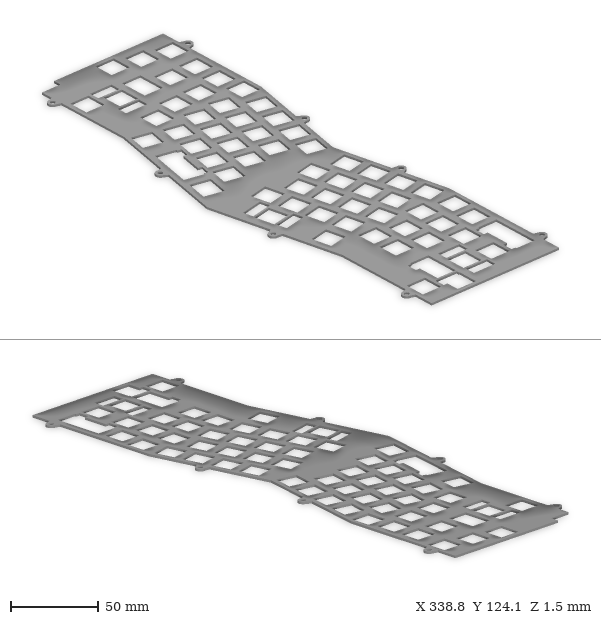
import cadquery as cq
import math


plate_length = 338.8
plate_thickness = 1.5
slope = 12.0
plate_left = -plate_length / 2
plate_right = plate_length / 2
plate_top = 55.5
plate_bottom = -42.5
top_bend_left = -85.7
top_bend_right = 75.5
bottom_bend_left = -94.2
bottom_bend_right = 93.0
notch_width = 5.5
notch_height = 14.2

tab_diameter = 6.5
tab_hole_diameter = 3.2
tab_reach = 3.0
tab_base_width = 8.5
tab_root = 1.0
tab_x_left = -151.5
tab_x_right = 151.5
top_tab_x_left = -42.0
top_tab_x_right = 40.0
bottom_tab_x_left = -47.8
bottom_tab_x_right = 47.5

five_rows = 95.2
pitch = five_rows / 5
hole_gap = 5.0
switch_hole = pitch - hole_gap
top_row_lift = 2.0
second_row_lift = 1.0
row_count = 5
top_row_y = 44.0
row_y = [top_row_y - row * pitch for row in range(row_count)]

stabilizer_spacing = 23.7
stabilizer_width = 7.0
stabilizer_height = 16.3
stabilizer_shift = 1.7
wire_opening_length = 33.0

left_field = (-70.0, 42.0)
right_field = (69.8, 44.0)
left_row_offsets = [0, -0.5, -0.25, 0.25]
right_row_offsets = [0, -0.5, -0.25, -0.75]
keys_per_row = 4
thumb_row_drop = 4 * pitch
outer_thumb_lag = 1.5
outer_thumb_drop = thumb_row_drop + outer_thumb_lag


def box(length, height, x, y, angle=0.0):
    """Prism through the plate, centred on (x, y) and turned about z."""
    prism = cq.Workplane("XY").rect(length, height).extrude(plate_thickness)
    return prism.rotate((0, 0, 0), (0, 0, 1), angle).translate((x, y, 0))


def field_point(origin, angle, along, across):
    """Plate position of a point given along and across the rows of a turned field."""
    turn = math.radians(angle)
    x = origin[0] + along * math.cos(turn) - across * math.sin(turn)
    y = origin[1] + along * math.sin(turn) + across * math.cos(turn)
    return x, y


def switch(x, y, angle=0.0):
    return [box(switch_hole, switch_hole, x, y, angle)]


def stabilizer_slots(x, y, wire_side, angle=0.0):
    """Pair of slots beside a switch, shifted up (wire_side 1) or down (wire_side -1)."""
    slots = []
    for side in (-1, 1):
        along = side * stabilizer_spacing / 2
        centre = field_point((x, y), angle, along, wire_side * stabilizer_shift)
        slots.append(box(stabilizer_width, stabilizer_height, *centre, angle))
    return slots


def stabilized_switch(x, y, wire_side, angle=0.0):
    return switch(x, y, angle) + stabilizer_slots(x, y, wire_side, angle)


def wide_opening(x, y, wire_side, angle=0.0):
    """Opening in which switch and stabilizer slots are merged."""
    opening = [box(wire_opening_length, switch_hole, x, y, angle)]
    return opening + stabilizer_slots(x, y, wire_side, angle)


def top_edge_y(x):
    """Height of the sloping top edge, which falls from both bends to the middle."""
    distance = min(x - top_bend_left, top_bend_right - x)
    return plate_top - distance * math.tan(math.radians(slope))


def bottom_edge_y(x):
    """Height of the sloping bottom edge, which falls from both bends to the middle."""
    distance = min(x - bottom_bend_left, bottom_bend_right - x)
    return plate_bottom - distance * math.tan(math.radians(slope))


def plate_outline():
    top_middle = (top_bend_left + top_bend_right) / 2
    bottom_middle = (bottom_bend_left + bottom_bend_right) / 2
    notch_x = plate_left + notch_width
    notch_y = plate_bottom + notch_height
    points = [
        (plate_left, plate_top),
        (top_bend_left, plate_top),
        (top_middle, top_edge_y(top_middle)),
        (top_bend_right, plate_top),
        (plate_right, plate_top),
        (plate_right, plate_bottom),
        (bottom_bend_right, plate_bottom),
        (bottom_middle, bottom_edge_y(bottom_middle)),
        (bottom_bend_left, plate_bottom),
        (notch_x, plate_bottom),
        (notch_x, notch_y),
        (plate_left, notch_y),
    ]
    return cq.Workplane("XY").polyline(points).close().extrude(plate_thickness)


def screw_tab(x, y, angle):
    """Tab standing on the edge point (x, y); at angle 0 it points to +Y."""
    radius = tab_diameter / 2
    neck = [
        (-tab_base_width / 2, -tab_root),
        (-tab_base_width / 2, 0),
        (-radius, tab_reach),
        (radius, tab_reach),
        (tab_base_width / 2, 0),
        (tab_base_width / 2, -tab_root),
    ]
    tab = cq.Workplane("XY").polyline(neck).close().extrude(plate_thickness)
    head = cq.Workplane("XY").center(0, tab_reach).circle(radius).extrude(plate_thickness)
    hole_radius = tab_hole_diameter / 2
    hole = cq.Workplane("XY").center(0, tab_reach).circle(hole_radius).extrude(plate_thickness)
    tab = tab.union(head).cut(hole)
    return tab.rotate((0, 0, 0), (0, 0, 1), angle).translate((x, y, 0))


def screw_tabs():
    tabs = []
    for x in (tab_x_left, tab_x_right):
        tabs.append(screw_tab(x, plate_top, 0))
        tabs.append(screw_tab(x, plate_bottom, 180))
    tabs.append(screw_tab(top_tab_x_left, top_edge_y(top_tab_x_left), -slope))
    tabs.append(screw_tab(top_tab_x_right, top_edge_y(top_tab_x_right), slope))
    tabs.append(screw_tab(bottom_tab_x_left, bottom_edge_y(bottom_tab_x_left), 180 - slope))
    tabs.append(screw_tab(bottom_tab_x_right, bottom_edge_y(bottom_tab_x_right), 180 + slope))
    return tabs


def switch_row(x_places, y):
    cutters = []
    for x in x_places:
        cutters += switch(x, y)
    return cutters


def macro_column():
    """Leftmost column of keys, stepping outwards from row to row."""
    top_x = -151.5
    top_y = 46.0
    outward_step = 4.0
    macro_count = 3
    cutters = []
    for row in range(macro_count):
        cutters += switch(top_x - row * outward_step, top_y - row * pitch)
    return cutters


def left_wing():
    """Unturned keys left of the inner fields, from the top row down."""
    first_x = -128.5
    raised_x = -90.5
    caps_lock_x = -134.5
    caps_lock_step = 5.5
    shift_x = -129.0
    bottom_x = -136.5
    cutters = switch_row((first_x, -109.0), row_y[0])
    cutters += switch(raised_x, row_y[0] + top_row_lift)
    cutters += switch_row((first_x, -104.0), row_y[1])
    cutters += switch_row((caps_lock_x, caps_lock_x + caps_lock_step, -103.5), row_y[2])
    cutters += stabilized_switch(shift_x, row_y[3], -1)
    cutters += switch_row((-98.0,), row_y[3])
    cutters += switch(bottom_x, row_y[4])
    return cutters


def right_wing():
    """Unturned keys right of the inner fields, from the top row down."""
    top_raised_x = 90.0
    backspace_x = 137.2
    second_raised_x = 85.0
    enter_x = 143.5
    short_shift_x = 133.0
    long_shift_x = short_shift_x + pitch / 2
    corner_key_x = 160.0
    bottom_x = 151.5
    cutters = switch(top_raised_x, row_y[0] + top_row_lift)
    cutters += switch_row((108.8,), row_y[0])
    cutters += wide_opening(backspace_x, row_y[0], -1)
    cutters += switch(second_raised_x, row_y[1] + second_row_lift)
    cutters += switch_row((103.5, 122.5, 146.5), row_y[1])
    cutters += switch_row((93.5, 112.5), row_y[2])
    cutters += stabilized_switch(enter_x, row_y[2], 1)
    cutters += switch_row((88.5, 107.0, short_shift_x, corner_key_x), row_y[3])
    cutters += stabilized_switch(long_shift_x, row_y[3], -1)
    cutters += switch(bottom_x, row_y[4])
    return cutters


def inner_rows(origin, angle, row_offsets, direction):
    """Four full rows of a turned field, counted from the outermost key inwards."""
    cutters = []
    for row, offset in enumerate(row_offsets):
        for key in range(keys_per_row):
            along = (offset + direction * key) * pitch
            cutters += switch(*field_point(origin, angle, along, -row * pitch), angle)
    return cutters


def left_thumb_row():
    outer_along = 4.0
    space_along = 39.0
    inner_along = 68.8
    inner_shift = pitch / 8
    cutters = switch(*field_point(left_field, -slope, outer_along, -outer_thumb_drop), -slope)
    cutters += wide_opening(*field_point(left_field, -slope, space_along, -thumb_row_drop), 1, -slope)
    for along in (inner_along, inner_along + inner_shift):
        cutters += switch(*field_point(left_field, -slope, along, -thumb_row_drop), -slope)
    return cutters


def right_thumb_row():
    outer_along = -13.5
    space_along = -55.0
    cutters = switch(*field_point(right_field, slope, outer_along, -outer_thumb_drop), slope)
    space = field_point(right_field, slope, space_along, -thumb_row_drop)
    return cutters + stabilized_switch(*space, 1, slope)


plate = plate_outline()
for tab in screw_tabs():
    plate = plate.union(tab)

openings = macro_column() + left_wing() + right_wing()
openings += inner_rows(left_field, -slope, left_row_offsets, 1)
openings += inner_rows(right_field, slope, right_row_offsets, -1)
openings += left_thumb_row() + right_thumb_row()
for opening in openings:
    plate = plate.cut(opening)

result = plate